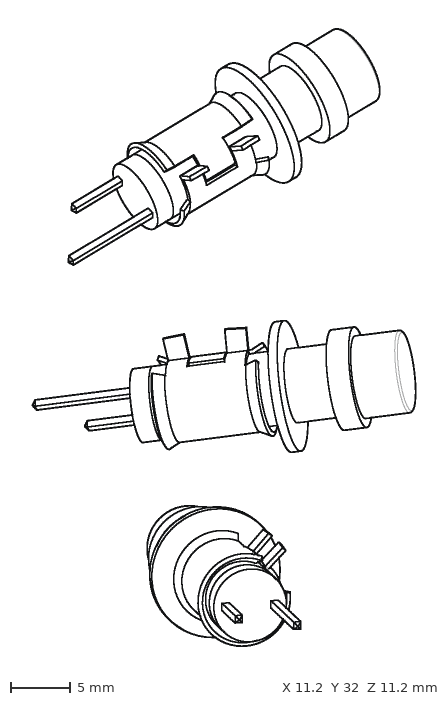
import cadquery as cq
import math


COLLAR_FRONT = 4.0
COLLAR_BACK = 5.95
WASHER_FRONT = 9.9
WASHER_THICKNESS = 0.8
PLUG_FRONT = 21.63
PLUG_BACK = 23.3
SHORT_PIN_END = 28.48
LONG_PIN_END = 32.0

LENS_DIAMETER = 7.05
LENS_FILLET = 0.2
COLLAR_DIAMETER = 8.58
BARREL_DIAMETER = 6.3
WASHER_DIAMETER = 11.15

PIN_SPACING = 4.25
PIN_WIDTH = 0.65
PIN_TIP_LENGTH = PIN_WIDTH / 2

CLIP_MIDDLE = 16.65
CLIP_STRAIGHT_LENGTH = 7.05
CLIP_WALL = 0.4
CLIP_INNER_RADIUS = BARREL_DIAMETER / 2
CLIP_OUTER_RADIUS = CLIP_INNER_RADIUS + CLIP_WALL
FLARE_ANGLE = 26.0
FLARE_LENGTH = 1.1
CLIP_REACH = 6.4

SPLIT_START = 7.0
SPLIT_END = 67.0
SLOT_END = 19.0
TONGUE_TIP = 26.0
ARM_TIP = 51.0

TONGUE_WIDTH = 3.07
SLOT_WIDTH = 3.25
ARM_WIDTH = 1.82

TAB_ANGLE = 46.5
TAB_END_RADIUS = 5.5
TAB_TILT = 4.0
TAB_ROOT_RADIUS = CLIP_INNER_RADIUS + CLIP_WALL / 2


def cylinder(diameter, front, back):
    """A round bar about Y between two depths."""
    plane = cq.Workplane("XZ", origin=(0, -front, 0))
    return plane.circle(diameter / 2).extrude(back - front)


def make_lens():
    return cylinder(LENS_DIAMETER, 0, COLLAR_FRONT).faces(">Y").edges().fillet(LENS_FILLET)


def make_housing():
    collar = cylinder(COLLAR_DIAMETER, COLLAR_FRONT, COLLAR_BACK)
    barrel = cylinder(BARREL_DIAMETER, COLLAR_BACK, PLUG_FRONT)
    return collar.union(barrel)


def make_washer():
    back = WASHER_FRONT + WASHER_THICKNESS
    bore = cylinder(BARREL_DIAMETER, WASHER_FRONT, back)
    return cylinder(WASHER_DIAMETER, WASHER_FRONT, back).cut(bore)


def make_pin(x, end):
    """A square pin with a pyramid point, from the back of the plug to the given depth."""
    shank_end = end - PIN_TIP_LENGTH
    half = PIN_WIDTH / 2
    shank = (
        cq.Workplane("XZ", origin=(x, -PLUG_BACK, 0))
        .rect(PIN_WIDTH, PIN_WIDTH)
        .extrude(shank_end - PLUG_BACK)
    )
    tip_taper = math.degrees(math.atan2(half, PIN_TIP_LENGTH))
    tip = (
        cq.Workplane("XZ", origin=(x, -shank_end, 0))
        .rect(PIN_WIDTH, PIN_WIDTH)
        .extrude(PIN_TIP_LENGTH, taper=tip_taper)
    )
    return shank.union(tip)


def make_plug():
    """The end plug together with its two contact pins."""
    plug = cylinder(BARREL_DIAMETER, PLUG_FRONT, PLUG_BACK)
    for x, end in ((-PIN_SPACING / 2, SHORT_PIN_END), (PIN_SPACING / 2, LONG_PIN_END)):
        plug = plug.union(make_pin(x, end))
    return plug


def wedge(start, end, back, front):
    """A wedge about Y between two angles and two Y positions."""
    corner_radius = CLIP_REACH / math.cos(math.radians(end - start) / 2)

    def at(radius, angle):
        return radius * math.cos(math.radians(angle)), radius * math.sin(math.radians(angle))

    return (
        cq.Workplane("XZ", origin=(0, front, 0))
        .moveTo(0, 0)
        .lineTo(*at(CLIP_REACH, start))
        .lineTo(*at(corner_radius, (start + end) / 2))
        .lineTo(*at(CLIP_REACH, end))
        .close()
        .extrude(front - back)
    )


def make_sleeve():
    """The full sleeve with both flared rims, about the origin."""
    flare = math.radians(FLARE_ANGLE)
    root_y = CLIP_STRAIGHT_LENGTH / 2
    inner_root_y = root_y + CLIP_WALL * math.tan(flare / 2)
    rim_radius = CLIP_OUTER_RADIUS + FLARE_LENGTH * math.sin(flare)
    rim_y = root_y + FLARE_LENGTH * math.cos(flare)
    inner_rim_radius = rim_radius - CLIP_WALL * math.cos(flare)
    inner_rim_y = rim_y + CLIP_WALL * math.sin(flare)
    front_half = [
        (CLIP_OUTER_RADIUS, root_y),
        (rim_radius, rim_y),
        (inner_rim_radius, inner_rim_y),
        (CLIP_INNER_RADIUS, inner_root_y),
    ]
    back_half = [(radius, -y) for radius, y in reversed(front_half)]
    profile = cq.Workplane("XY").polyline(front_half + back_half).close()
    return profile.revolve(360, (0, 0, 0), (0, 1, 0))


def make_tab(side):
    """One pliers tab; side is +1 for the front arm and -1 for the back arm."""
    length = TAB_END_RADIUS - TAB_ROOT_RADIUS
    face_offset = CLIP_OUTER_RADIUS * math.sin(math.radians(ARM_TIP - TAB_ANGLE))
    arm_y = side * (SLOT_WIDTH + ARM_WIDTH) / 2
    return (
        cq.Workplane("XY")
        .box(length, ARM_WIDTH, CLIP_WALL, centered=(False, True, True))
        .rotate((0, 0, 0), (0, 0, 1), side * TAB_TILT)
        .translate((TAB_ROOT_RADIUS, arm_y, face_offset - CLIP_WALL / 2))
        .rotate((0, 0, 0), (0, 1, 0), -TAB_ANGLE)
    )


def make_clip():
    sleeve = make_sleeve()
    half_tongue = TONGUE_WIDTH / 2
    half_slot = SLOT_WIDTH / 2
    arm_outer = half_slot + ARM_WIDTH

    clip = sleeve.cut(wedge(SPLIT_START, SPLIT_END, -CLIP_REACH, CLIP_REACH))
    tongue = sleeve.intersect(wedge(TONGUE_TIP, SPLIT_END, -half_tongue, half_tongue))
    slot_floor = sleeve.intersect(wedge(SPLIT_START, SLOT_END, -half_slot, half_slot))
    clip = clip.union(tongue).union(slot_floor)
    for side in (1, -1):
        back, front = sorted((side * half_slot, side * arm_outer))
        arm = sleeve.intersect(wedge(SPLIT_START, ARM_TIP, back, front))
        clip = clip.union(arm).union(make_tab(side))
    return clip.translate((0, -CLIP_MIDDLE, 0))


lens = make_lens()
housing = make_housing()
washer = make_washer()
clip = make_clip()
plug = make_plug()

result = cq.Compound.makeCompound([lens.val(), housing.val(), washer.val(), clip.val(), plug.val()])